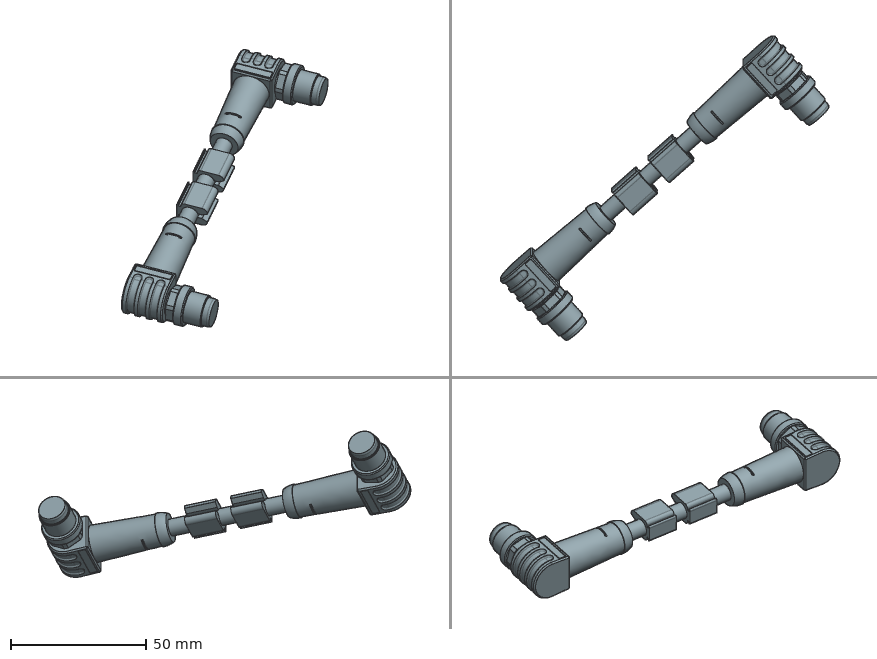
import cadquery as cq
import math


TOTAL_LENGTH = 136.9
TOTAL_WIDTH = 33.5

BODY_SIZE = 16.0
BODY_RADIUS = BODY_SIZE / 2
BODY_BACK_HALF_HEIGHT = 7.7
BODY_CHAMFER = 0.5
BODY_END_Y = -TOTAL_LENGTH / 2
BODY_BACK_Y = BODY_END_Y + BODY_SIZE
PLUG_AXIS_Y = BODY_END_Y + BODY_RADIUS

SLOT_COUNT = 3
SLOT_PITCH = 4.5
SLOT_WIDTH = 3.1
SLOT_DEPTH = 0.7
SLOT_TIP_Y = BODY_END_Y + 10.5
SLOT_FLOOR_FILLET = 0.4

LABEL_LENGTH = 14.1
LABEL_WIDTH = 2.9
LABEL_DEPTH = 0.3
LABEL_GAP = 1.2
LABEL_CORNER_RADIUS = 0.4

NECK_DIAMETER = 9.7
HEX_START_X = 8.9
HEX_ACROSS_FLATS = 12.6
HEX_CORNER_DIAMETER = 13.7
HEX_TURN_AT_FAR_PLUG = -15.0
RING_START_X = 11.9
RING_END_X = 15.6
RING_DIAMETER = 15.0
RING_CHAMFER = 0.4
SLEEVE_END_X = 22.6
SLEEVE_DIAMETER = 12.0
SLEEVE_CHAMFER = 0.3
TIP_END_X = TOTAL_WIDTH - BODY_RADIUS
TIP_DIAMETER = 10.8
TIP_END_DIAMETER = 10.3
TIP_CHAMFER_LENGTH = 1.0

BOOT_BASE_DIAMETER = 14.1
BOOT_NECK_DIAMETER = 12.2
COLLAR_DIAMETER = 12.9
COLLAR_END_DIAMETER = 11.0
COLLAR_START_Y = -26.8
COLLAR_END_Y = -22.7
COLLAR_BULGE = 0.3
BOOT_SLIT_WIDTH = 0.6
BOOT_SLIT_Y = -32.9
BOOT_SLIT_FLOOR_Z = 5.5

CABLE_DIAMETER = 6.5
CLIP_LENGTH = 12.0
CLIP_GAP = 6.0
CLIP_HALF_HEIGHT = 4.4
CLIP_PLATE_X = -5.2
CLIP_PLATE_HALF_HEIGHT = 3.4
CLIP_PLATE_RADIUS = 0.7
CLIP_NOTCH_WIDTH = 1.0
CLIP_NOTCH_HALF_HEIGHT = 2.5
CLIP_SHOULDER_RADIUS = 1.4
CLIP_JAW_END_X = 6.8
CLIP_JAW_RADIUS = 2.0
CLIP_MOUTH_HALF_GAP = 2.0
CLIP_THROAT_X = 4.8
CLIP_THROAT_HALF_GAP = 1.0


def d_block(inset):
    """D-shaped block along X, shrunk on its outer sides by the inset."""
    radius = BODY_RADIUS - inset
    back_half_height = BODY_BACK_HALF_HEIGHT - inset
    return (
        cq.Workplane("YZ", origin=(-BODY_RADIUS, 0, 0))
        .moveTo(BODY_BACK_Y, -back_half_height)
        .lineTo(PLUG_AXIS_Y, -radius)
        .threePointArc((PLUG_AXIS_Y - radius, 0), (PLUG_AXIS_Y, radius))
        .lineTo(BODY_BACK_Y, back_half_height)
        .close()
        .extrude(BODY_SIZE)
    )


def grip_slot(center_x):
    """Round-ended cutter that keeps an even depth around the body."""
    slot_radius = SLOT_WIDTH / 2
    arc_y = SLOT_TIP_Y - slot_radius
    open_y = BODY_END_Y - SLOT_WIDTH
    cutter = (
        cq.Workplane("XY", origin=(center_x, 0, -BODY_SIZE))
        .moveTo(-slot_radius, open_y)
        .lineTo(-slot_radius, arc_y)
        .threePointArc((0, SLOT_TIP_Y), (slot_radius, arc_y))
        .lineTo(slot_radius, open_y)
        .close()
        .extrude(2 * BODY_SIZE)
        .cut(d_block(SLOT_DEPTH))
    )
    body_corner = (BODY_SIZE, BODY_END_Y, -BODY_RADIUS)
    opposite_corner = (-BODY_SIZE, BODY_BACK_Y, BODY_RADIUS)
    inside_body = cq.selectors.BoxSelector(body_corner, opposite_corner)
    across_slot = cq.selectors.ParallelDirSelector(cq.Vector(1, 0, 0))
    return cutter.edges(inside_body - across_slot).fillet(SLOT_FLOOR_FILLET)


def label_recesses():
    """Shallow rounded rectangles that follow the sloping top and bottom."""
    center_y = BODY_BACK_Y - LABEL_GAP - LABEL_WIDTH / 2
    return (
        cq.Workplane("XY", origin=(0, center_y, -BODY_SIZE))
        .rect(LABEL_LENGTH, LABEL_WIDTH)
        .extrude(2 * BODY_SIZE)
        .edges("|Z")
        .fillet(LABEL_CORNER_RADIUS)
        .cut(d_block(LABEL_DEPTH))
    )


def plug_body():
    body = d_block(0).faces("<X or >X or >Y").edges().chamfer(BODY_CHAMFER)
    for index in range(SLOT_COUNT):
        center_x = (index - (SLOT_COUNT - 1) / 2) * SLOT_PITCH
        body = body.cut(grip_slot(center_x))
    return body.cut(label_recesses())


def along_plug_axis(start_x, end_x, diameter):
    return (
        cq.Workplane("YZ", origin=(start_x, PLUG_AXIS_Y, 0))
        .circle(diameter / 2)
        .extrude(end_x - start_x)
    )


def coupling(hex_turn):
    neck = along_plug_axis(0, HEX_START_X, NECK_DIAMETER)
    hexagon = (
        cq.Workplane("YZ", origin=(HEX_START_X, PLUG_AXIS_Y, 0))
        .transformed(rotate=(0, 0, 90 + hex_turn))
        .polygon(6, HEX_ACROSS_FLATS / math.cos(math.pi / 6))
        .extrude(RING_START_X - HEX_START_X)
        .intersect(along_plug_axis(HEX_START_X, RING_START_X, HEX_CORNER_DIAMETER))
    )
    ring = along_plug_axis(RING_START_X, RING_END_X, RING_DIAMETER).edges().chamfer(RING_CHAMFER)
    sleeve = along_plug_axis(RING_START_X, SLEEVE_END_X, SLEEVE_DIAMETER)
    sleeve = sleeve.faces(">X").edges().chamfer(SLEEVE_CHAMFER)
    tip = along_plug_axis(RING_START_X, TIP_END_X, TIP_DIAMETER)
    tip_step = (TIP_DIAMETER - TIP_END_DIAMETER) / 2
    tip = tip.faces(">X").edges().chamfer(TIP_CHAMFER_LENGTH, tip_step)
    return neck.union(hexagon).union(ring).union(sleeve).union(tip)


def boot():
    collar_mid_radius = (COLLAR_DIAMETER + COLLAR_END_DIAMETER) / 4 + COLLAR_BULGE
    collar_mid_y = (COLLAR_START_Y + COLLAR_END_Y) / 2
    shell = (
        cq.Workplane("XY")
        .moveTo(0, BODY_BACK_Y)
        .lineTo(BOOT_BASE_DIAMETER / 2, BODY_BACK_Y)
        .lineTo(BOOT_NECK_DIAMETER / 2, COLLAR_START_Y)
        .lineTo(COLLAR_DIAMETER / 2, COLLAR_START_Y)
        .threePointArc((collar_mid_radius, collar_mid_y), (COLLAR_END_DIAMETER / 2, COLLAR_END_Y))
        .lineTo(0, COLLAR_END_Y)
        .close()
        .revolve(360, (0, 0, 0), (0, 1, 0))
    )
    slit = (
        cq.Workplane("XY", origin=(0, BOOT_SLIT_Y, BOOT_SLIT_FLOOR_Z))
        .rect(BOOT_BASE_DIAMETER, BOOT_SLIT_WIDTH)
        .extrude(BOOT_BASE_DIAMETER)
    )
    return shell.cut(slit).cut(slit.mirror("XY"))


def clip(start_y):
    """Label carrier: a flat plate at -X and two jaws that open toward +X."""
    plate_back_x = CLIP_PLATE_X + CLIP_PLATE_RADIUS
    shoulder_x = plate_back_x + CLIP_NOTCH_WIDTH
    shoulder_end_x = shoulder_x + CLIP_SHOULDER_RADIUS
    shoulder_z = CLIP_HALF_HEIGHT - CLIP_SHOULDER_RADIUS
    plate_z = CLIP_PLATE_HALF_HEIGHT - CLIP_PLATE_RADIUS
    jaw_x = CLIP_JAW_END_X - CLIP_JAW_RADIUS
    jaw_z = CLIP_HALF_HEIGHT - CLIP_JAW_RADIUS
    diagonal = math.sqrt(0.5)
    plate_mid = (plate_back_x - CLIP_PLATE_RADIUS * diagonal, plate_z + CLIP_PLATE_RADIUS * diagonal)
    shoulder_mid = (
        shoulder_end_x - CLIP_SHOULDER_RADIUS * diagonal,
        shoulder_z + CLIP_SHOULDER_RADIUS * diagonal,
    )
    jaw_mid = (jaw_x + CLIP_JAW_RADIUS * diagonal, jaw_z + CLIP_JAW_RADIUS * diagonal)
    upper_half = (
        cq.Workplane("XZ", origin=(0, start_y + CLIP_LENGTH, 0))
        .moveTo(CLIP_PLATE_X, 0)
        .lineTo(CLIP_PLATE_X, plate_z)
        .threePointArc(plate_mid, (plate_back_x, CLIP_PLATE_HALF_HEIGHT))
        .lineTo(plate_back_x, CLIP_NOTCH_HALF_HEIGHT)
        .lineTo(shoulder_x, CLIP_NOTCH_HALF_HEIGHT)
        .lineTo(shoulder_x, shoulder_z)
        .threePointArc(shoulder_mid, (shoulder_end_x, CLIP_HALF_HEIGHT))
        .lineTo(jaw_x, CLIP_HALF_HEIGHT)
        .threePointArc(jaw_mid, (CLIP_JAW_END_X, jaw_z))
        .lineTo(CLIP_JAW_END_X, CLIP_MOUTH_HALF_GAP)
        .lineTo(CLIP_THROAT_X, CLIP_THROAT_HALF_GAP)
        .lineTo(0, CLIP_THROAT_HALF_GAP)
        .lineTo(0, 0)
        .close()
        .extrude(CLIP_LENGTH)
    )
    return upper_half.union(upper_half.mirror("XY"))


def plug_end(hex_turn):
    clip_start_y = -CLIP_GAP / 2 - CLIP_LENGTH
    return plug_body().union(coupling(hex_turn)).union(boot()).union(clip(clip_start_y))


cable = (
    cq.Workplane("XZ", origin=(0, -BODY_BACK_Y, 0))
    .circle(CABLE_DIAMETER / 2)
    .extrude(-2 * BODY_BACK_Y)
)
near_end = plug_end(0)
far_end = plug_end(HEX_TURN_AT_FAR_PLUG).mirror("XZ")

result = cable.union(near_end).union(far_end)